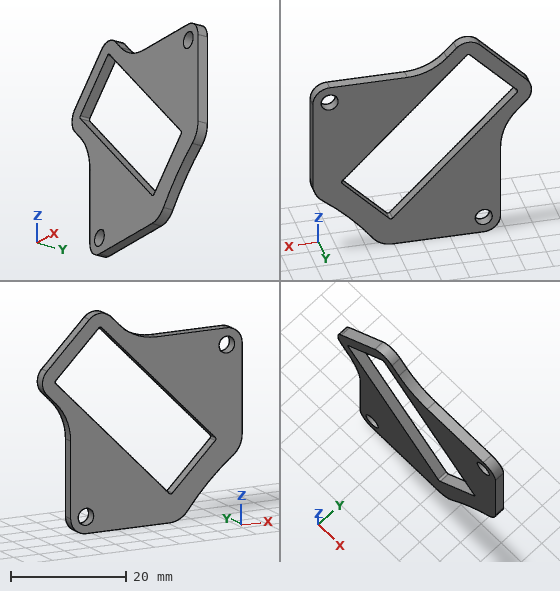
import cadquery as cq
import math

size = 39.2
half = size / 2
thickness = 2.0

body_inset = 5.53
body_left = body_inset - half
corner_radius = 3.0
hole_diameter = 3.0

window_length = 32.3
window_width = 12.7
window_corner_radius = 0.4
frame_margin = 2.55
frame_corner_radius = 3.0
frame_corner_reach = (
    (window_length + window_width) / (2 * math.sqrt(2))
    + frame_margin * math.sqrt(2)
    - frame_corner_radius * (math.sqrt(2) - 1)
)
window_shift = half - frame_corner_reach
neck_radius = 10.0

shoulder_radius = 4.5
shoulder_height = -5.3
hollow_middle = 13.05


def mirrored(point):
    """Reflect an (x, z) point in the plate's diagonal."""
    x, z = point
    return (-z, -x)


def diagonal_block(length, width, radius):
    """Rounded block centred on the origin, its length along the diagonal."""
    block = cq.Workplane("XZ").rect(length, width).extrude(thickness / 2, both=True)
    return block.edges("|Y").fillet(radius).rotate((0, 0, 0), (0, 1, 0), 45)


def make_body():
    shoulder_x = half - shoulder_radius
    along = (shoulder_x - shoulder_height) / math.sqrt(2) - hollow_middle * math.sqrt(2)
    across = (shoulder_x + shoulder_height) / math.sqrt(2)
    hollow_radius = (along**2 + across**2 - shoulder_radius**2) / (2 * (along + shoulder_radius))

    hollow_centre = hollow_middle + hollow_radius / math.sqrt(2)
    slope = math.atan2(-hollow_centre - shoulder_height, hollow_centre - shoulder_x)

    def on_shoulder(angle):
        return (
            shoulder_x + shoulder_radius * math.cos(angle),
            shoulder_height + shoulder_radius * math.sin(angle),
        )

    shoulder_start = (half, shoulder_height)
    shoulder_middle = on_shoulder(slope / 2)
    shoulder_end = on_shoulder(slope)
    outline = (
        cq.Workplane("XZ")
        .moveTo(body_left, -body_left)
        .lineTo(half, -body_left)
        .lineTo(*shoulder_start)
        .threePointArc(shoulder_middle, shoulder_end)
        .threePointArc((hollow_middle, -hollow_middle), mirrored(shoulder_end))
        .threePointArc(mirrored(shoulder_middle), mirrored(shoulder_start))
        .lineTo(body_left, -half)
        .close()
    )
    return outline.extrude(thickness / 2, both=True)


def make_frame():
    """Frame end, running from the upper-left tip to the middle of the window."""
    length = window_length + 2 * frame_margin
    width = window_width + 2 * frame_margin
    frame = diagonal_block(length, width, frame_corner_radius)
    upper_left = (
        cq.Workplane("XZ")
        .polyline([(-size, -size), (size, size), (-size, size)])
        .close()
        .extrude(thickness, both=True)
    )
    return frame.intersect(upper_left).translate((-window_shift, 0, window_shift))


def round_pair(plate, corner, radius):
    """Fillet the edge through an (x, z) corner and its mirror image."""
    for x, z in (corner, mirrored(corner)):
        plate = plate.edges(cq.selectors.NearestToPointSelector((x, 0, z))).fillet(radius)
    return plate


plate = make_body().union(make_frame())

body_corner = (body_left, -half)
frame_side_offset = math.sqrt(2) * (window_width / 2 + frame_margin)
neck_corner = (body_left, -body_left - frame_side_offset)
plate = round_pair(plate, body_corner, corner_radius)
plate = round_pair(plate, neck_corner, neck_radius)

window = diagonal_block(window_length, window_width, window_corner_radius)
plate = plate.cut(window.translate((-window_shift, 0, window_shift)))

hole_centre = (body_left + corner_radius, corner_radius - half)
holes = (
    cq.Workplane("XZ")
    .pushPoints([hole_centre, mirrored(hole_centre)])
    .circle(hole_diameter / 2)
    .extrude(thickness, both=True)
)
result = plate.cut(holes)